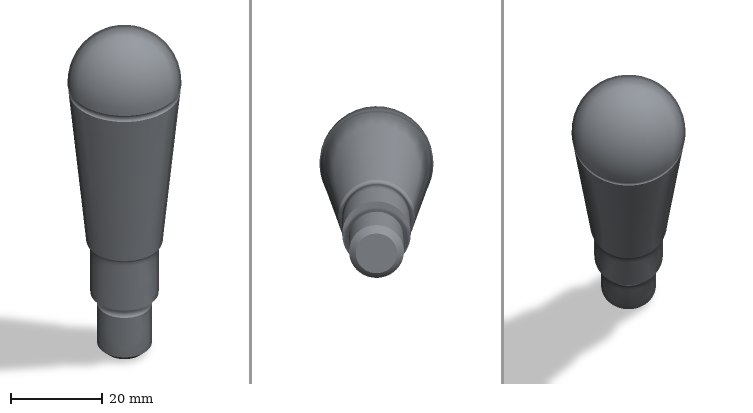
import cadquery as cq
import math

total_height = 83.0
ball_radius = 12.49
stud_radius = 12.0 / 2
neck_radius = 10.0 / 2
sleeve_radius = 15.0 / 2

stud_top = 11.95
sleeve_bottom = 14.9
grip_bottom = 28.0
grip_top = 68.2
ball_bottom = 70.0

neck_flare_radius = 2.2
stud_chamfer = 1.5
grip_round = 0.9
grip_top_radius = 12.3
groove_depth = 0.5

neck_middle = (stud_top + sleeve_bottom) / 2
cove_radius = sleeve_bottom - neck_middle
cove_center = neck_radius + cove_radius

ball_center = total_height - ball_radius
ball_bottom_radius = math.sqrt(ball_radius**2 - (ball_center - ball_bottom) ** 2)
diagonal = math.sqrt(0.5)

grip_bottom_radius = sleeve_radius + grip_round
round_middle = (
    sleeve_radius + grip_round * diagonal,
    grip_bottom + grip_round * (1 - diagonal),
)
groove_middle = (grip_top_radius - groove_depth, (grip_top + ball_bottom) / 2)

outline = (
    cq.Workplane("XZ")
    .lineTo(stud_radius - stud_chamfer, 0)
    .lineTo(stud_radius, stud_chamfer)
    .lineTo(stud_radius, stud_top)
    .radiusArc((neck_radius, neck_middle), neck_flare_radius)
    .radiusArc((cove_center, sleeve_bottom), cove_radius)
    .lineTo(sleeve_radius, sleeve_bottom)
    .lineTo(sleeve_radius, grip_bottom)
    .threePointArc(round_middle, (grip_bottom_radius, grip_bottom + grip_round))
    .lineTo(grip_top_radius, grip_top)
    .threePointArc(groove_middle, (ball_bottom_radius, ball_bottom))
    .threePointArc(
        (ball_radius * diagonal, ball_center + ball_radius * diagonal),
        (0, total_height),
    )
    .close()
)

result = outline.revolve(360, (0, 0, 0), (0, 1, 0))